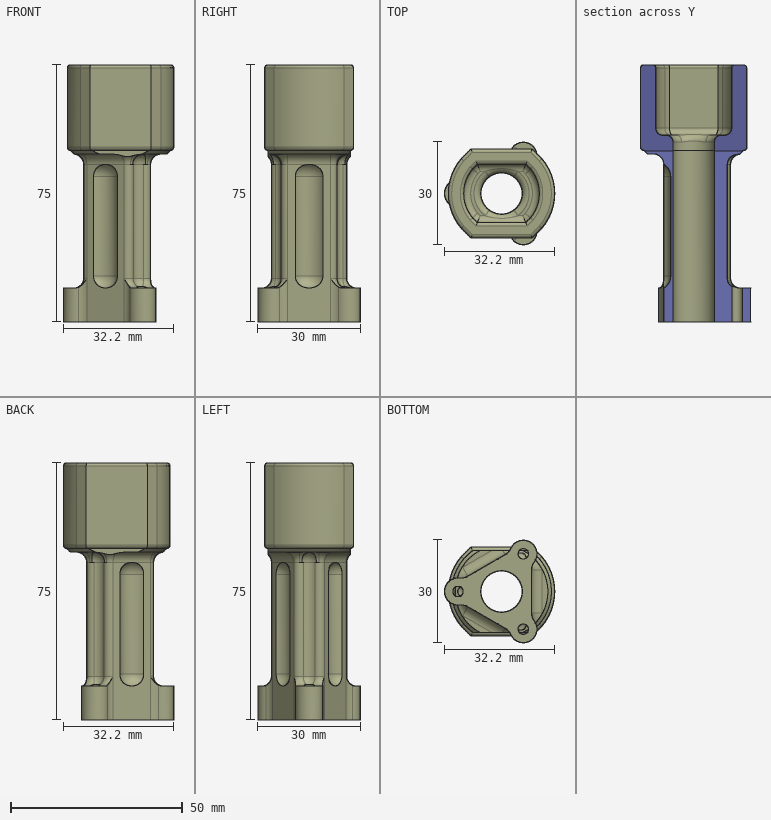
import cadquery as cq
import math

TOTAL_HEIGHT = 75.0
BOSS_TOP = 10.0
CUP_BOTTOM = 50.0

CUP_RADIUS = 15.5
CUP_FLAT_DISTANCE = 13.0
CUP_FLAT_HALF_LENGTH = 8.9
CUP_WALL = 4.5
CUP_RIM_FILLET = 1.0
CAVITY_FLOOR = CUP_BOTTOM + CUP_WALL
CAVITY_FILLET = 2.0
BORE_RIM_FILLET = 2.0

BORE_RADIUS = 6.0
STEM_FLAT_DISTANCE = 8.8
STEM_CORNER_FILLET = 1.9

FLANGE_THICKNESS = 1.05
FLANGE_BOTTOM = CUP_BOTTOM - FLANGE_THICKNESS
FLARE_RADIUS = 3.0
FLARE_START = FLANGE_BOTTOM - FLARE_RADIUS

BOSS_ANGLES = (180, 300, 60)
BOSS_PITCH_RADIUS = 12.7
BOSS_RADIUS = 4.0
BOSS_SIDE_FILLET = 4.0
BOSS_TOP_FILLET = 2.8
SCREW_HOLE_RADIUS = 1.5
GROOVE_RADIUS = 2.85

CORNER_ANGLE = math.pi / 3
FILLET_CENTRE_OUT = STEM_FLAT_DISTANCE - STEM_CORNER_FILLET
FILLET_CENTRE_ALONG = BOSS_PITCH_RADIUS * math.sin(CORNER_ANGLE) - math.sqrt(
    (GROOVE_RADIUS + STEM_CORNER_FILLET) ** 2
    - (FILLET_CENTRE_OUT - BOSS_PITCH_RADIUS * math.cos(CORNER_ANGLE)) ** 2
)
CORNER_DISTANCE = (
    FILLET_CENTRE_OUT * math.cos(CORNER_ANGLE)
    + FILLET_CENTRE_ALONG * math.sin(CORNER_ANGLE)
    + STEM_CORNER_FILLET
)

RECESS_WIDTH = 8.0
RECESS_DEPTH = 2.0
RECESS_END_FILLET = 4.0

CLEARANCE = 15.0
SLAB_RADIUS = 30.0
SLAB_THICKNESS = 7.5
EDGE_SEARCH = 0.1


def around_axis(shape):
    """Three copies of a shape made on the +X axis, one at each boss."""
    copies = cq.Workplane("XY")
    for angle in BOSS_ANGLES:
        copies = copies.add(shape.rotate((0, 0, 0), (0, 0, 1), angle).vals())
    return copies


def cut_around_axis(body, shape):
    """Cut a shape made on the +X axis from the body at each boss direction."""
    for cutter in around_axis(shape).vals():
        body = body.cut(cq.Workplane(cutter))
    return body


def triangle_prism(bottom, top):
    """Triangle with its three corners pointing at the bosses."""
    tip = 2 * STEM_FLAT_DISTANCE
    corners = [
        (tip * math.cos(math.radians(a)), tip * math.sin(math.radians(a)))
        for a in BOSS_ANGLES
    ]
    return cq.Workplane("XY").workplane(offset=bottom).polyline(corners).close().extrude(top - bottom)


def grooved_column(bottom, top):
    """Column whose three corners are hollowed by a vertical screw groove."""
    height = top - bottom
    groove = (
        cq.Workplane("XY").workplane(offset=bottom)
        .center(BOSS_PITCH_RADIUS, 0).circle(GROOVE_RADIUS).extrude(height)
    )
    outside = (
        cq.Workplane("XY").workplane(offset=bottom)
        .center(BOSS_PITCH_RADIUS + CLEARANCE / 2, 0)
        .rect(CLEARANCE, 2 * GROOVE_RADIUS).extrude(height)
    )
    column = triangle_prism(bottom, top)
    column = cut_around_axis(column, groove)
    column = cut_around_axis(column, outside)
    return column.edges("|Z").fillet(STEM_CORNER_FILLET)


def blunt_column(bottom, top):
    """Column of the same width with plain, blunt corners."""
    outside = (
        cq.Workplane("XY").workplane(offset=bottom)
        .center(CORNER_DISTANCE + CLEARANCE / 2, 0)
        .rect(CLEARANCE, 2 * CLEARANCE).extrude(top - bottom)
    )
    column = cut_around_axis(triangle_prism(bottom, top), outside)
    return column.edges("|Z").fillet(STEM_CORNER_FILLET)


def blend_into_slab(column, slab_bottom, joint, radius):
    """Join a column to a wide slab and round the inner corner at height joint."""
    slab = (
        cq.Workplane("XY").workplane(offset=slab_bottom)
        .circle(SLAB_RADIUS).extrude(SLAB_THICKNESS)
    )
    search = cq.selectors.BoxSelector(
        (-CLEARANCE, -CLEARANCE, joint - EDGE_SEARCH),
        (CLEARANCE, CLEARANCE, joint + EDGE_SEARCH),
        boundingbox=True,
    )
    return slab.union(column).edges(search).fillet(radius)


def base_prism(height):
    """Stem outline with the three screw bosses blended into the flats."""
    core = triangle_prism(0, height).intersect(
        cq.Workplane("XY").circle(BOSS_PITCH_RADIUS).extrude(height)
    )
    boss = (
        cq.Workplane("XY").circle(BOSS_RADIUS).extrude(height)
        .rotate((0, 0, 0), (0, 0, 1), 180).translate((BOSS_PITCH_RADIUS, 0, 0))
    )
    for one_boss in around_axis(boss).vals():
        core = core.union(cq.Workplane(one_boss))
    return core.edges("|Z").fillet(BOSS_SIDE_FILLET)


def cup_prism(inset, bottom, top):
    """Cup outline moved inwards by inset."""
    radius = CUP_RADIUS - inset
    flat_y = CUP_FLAT_DISTANCE - inset
    half_corner_turn = math.pi / 8
    flat_x = CUP_FLAT_HALF_LENGTH - inset * math.tan(half_corner_turn)
    corner_distance = (flat_x + flat_y) / math.sqrt(2)
    arc_angle = math.pi / 4 - math.acos(corner_distance / radius)
    arc_x = radius * math.cos(arc_angle)
    arc_y = radius * math.sin(arc_angle)
    return (
        cq.Workplane("XY").workplane(offset=bottom)
        .moveTo(-flat_x, flat_y)
        .lineTo(flat_x, flat_y)
        .lineTo(arc_x, arc_y)
        .threePointArc((radius, 0), (arc_x, -arc_y))
        .lineTo(flat_x, -flat_y)
        .lineTo(-flat_x, -flat_y)
        .lineTo(-arc_x, -arc_y)
        .threePointArc((-radius, 0), (-arc_x, arc_y))
        .close()
        .extrude(top - bottom)
    )


def flange_envelope():
    """Envelope of the flange and flare, with the lower round edges chamfered."""
    flange_radius = CUP_RADIUS - CUP_RIM_FILLET
    lower_radius = flange_radius - FLANGE_THICKNESS
    envelope = (
        cq.Workplane("XZ")
        .moveTo(0, FLARE_START)
        .lineTo(lower_radius, FLARE_START)
        .lineTo(lower_radius, FLANGE_BOTTOM)
        .lineTo(flange_radius, CUP_BOTTOM)
        .lineTo(0, CUP_BOTTOM)
        .close()
        .revolve(360, (0, 0, 0), (0, 1, 0))
    )
    return envelope.intersect(cup_prism(CUP_RIM_FILLET, FLARE_START, CUP_BOTTOM))


def bore(bottom, top):
    """Through bore along the axis of the part."""
    return cq.Workplane("XY").workplane(offset=bottom).circle(BORE_RADIUS).extrude(top - bottom)


def recess_cutter():
    """Round-ended scoop for the flat opposite the boss on the +X axis."""
    half_width = RECESS_WIDTH / 2
    radius = (half_width**2 + RECESS_DEPTH**2) / (2 * RECESS_DEPTH)
    end_rise = math.sqrt(RECESS_END_FILLET**2 - (RECESS_END_FILLET - RECESS_DEPTH) ** 2)
    overrun = RECESS_END_FILLET - end_rise
    bottom = BOSS_TOP - overrun
    top = FLARE_START + overrun
    axis_x = STEM_FLAT_DISTANCE - RECESS_DEPTH + radius
    return (
        cq.Workplane("XY").workplane(offset=bottom)
        .center(-axis_x, 0).circle(radius).extrude(top - bottom)
        .edges("%CIRCLE").fillet(RECESS_END_FILLET)
    )


def groove_end_cutter():
    """Ball that ends each screw groove in the flare."""
    return cq.Workplane("XY").sphere(GROOVE_RADIUS).translate((BOSS_PITCH_RADIUS, 0, FLARE_START))


def screw_hole_cutter():
    """Screw hole through a boss."""
    return (
        cq.Workplane("XY").center(BOSS_PITCH_RADIUS, 0)
        .circle(SCREW_HOLE_RADIUS).extrude(BOSS_TOP + BOSS_TOP_FILLET)
    )


def make_stem():
    """Bored column with screw bosses at the foot and a flange that carries the cup."""
    blend_top = BOSS_TOP + BOSS_TOP_FILLET
    foot = blend_into_slab(
        grooved_column(0, CUP_BOTTOM), BOSS_TOP - SLAB_THICKNESS, BOSS_TOP, BOSS_TOP_FILLET
    )
    foot = base_prism(BOSS_TOP).union(foot.intersect(base_prism(blend_top)))
    flare = blend_into_slab(
        blunt_column(0, CUP_BOTTOM), FLANGE_BOTTOM, FLANGE_BOTTOM, FLARE_RADIUS
    )
    flare = flare.intersect(flange_envelope())
    flare = cut_around_axis(flare, groove_end_cutter())
    stem = foot.union(grooved_column(blend_top, FLARE_START)).union(flare)
    stem = cut_around_axis(stem, recess_cutter())
    stem = cut_around_axis(stem, screw_hole_cutter())
    return stem.cut(bore(0, CUP_BOTTOM))


def make_cup():
    """Open cup with a rounded cavity and a bore through its floor."""
    cup = cup_prism(0, CUP_BOTTOM, TOTAL_HEIGHT)
    cup = cup.faces("<Z or >Z").edges().fillet(CUP_RIM_FILLET)
    cavity = cup_prism(CUP_WALL, CAVITY_FLOOR, TOTAL_HEIGHT).faces("<Z").edges().fillet(CAVITY_FILLET)
    cup = cup.cut(cavity)
    cup = cup.faces(">Z").wires(cq.selectors.LengthNthSelector(0)).fillet(CUP_RIM_FILLET)
    cup = cup.cut(bore(CUP_BOTTOM, CAVITY_FLOOR))
    rim = cq.selectors.NearestToPointSelector((0, 0, CAVITY_FLOOR))
    return cup.edges("%CIRCLE").edges(rim).fillet(BORE_RIM_FILLET)


stem = make_stem()
cup = make_cup()

result = cq.Compound.makeCompound([stem.val(), cup.val()])